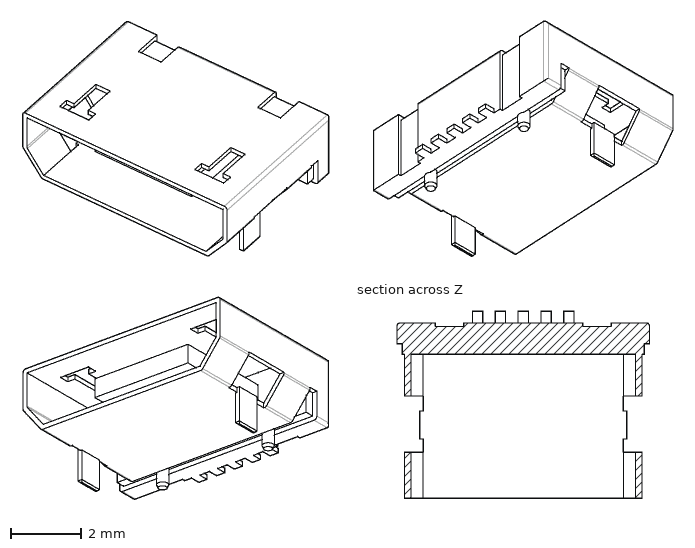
import cadquery as cq


SHELL_WIDTH = 7.2
SHELL_HEIGHT = 2.15
SHELL_LENGTH = 5.0
WALL = 0.15
BEND_RADIUS = 0.1
SLOPE_WIDTH = 0.67
SLOPE_HEIGHT = 0.845
HALF_WIDTH = SHELL_WIDTH / 2
INNER_HALF_WIDTH = HALF_WIDTH - WALL
CEILING_Z = SHELL_HEIGHT - WALL

INSULATOR_FRONT_Y = 4.1
INSULATOR_REAR_Y = 4.9
TONGUE_HALF_WIDTH = 1.7
TONGUE_BOTTOM_Z = 1.0
TONGUE_THICKNESS = 0.6
TONGUE_FRONT_Y = 0.9

CAP_FRONT_Y = 4.4
NOTCH_INNER_X = TONGUE_HALF_WIDTH
NOTCH_WIDTH = 0.8
PANEL_BEND_RADIUS = 0.099

WINDOW_FRONT_Y = 1.32
WINDOW_LENGTH = 1.59
WINDOW_TOP_Z = 0.9
WINDOW_INNER_X = 2.855
LEG_X = 2.875
LEG_Y = 2.09
LEG_WIDTH = 0.8
LEG_DROP = 1.0
LEG_TIP_CHAMFER = 0.05

SLOT_X = 2.375
SLOT_BAR_WIDTH = 1.02
SLOT_BAR_LENGTH = 0.33
SLOT_STEM_WIDTH = 0.5
SLOT_FRONT_Y = 0.82
SLOT_REAR_Y = 2.21

PEG_DIAMETER = 0.35
PEG_X = 1.925
PEG_Y = INSULATOR_FRONT_Y + PEG_DIAMETER / 2
PEG_DROP = 0.45
PEG_TIP_HEIGHT = 0.1
PEG_TIP_INSET = 0.045

PIN_COUNT = 5
PIN_PITCH = 0.65
PIN_WIDTH = 0.3
PIN_THICKNESS = 0.15
PIN_REAR_Y = 5.33

SIDES = (-1, 1)


def block(x_range, y_range, z_range):
    """Box between two limits on each axis."""
    limits = (sorted(x_range), sorted(y_range), sorted(z_range))
    size = [high - low for low, high in limits]
    corner = tuple(low for low, high in limits)
    return cq.Workplane("XY").box(*size, centered=False).translate(corner)


def mouth_profile():
    """Outer cross-section of the shell, with sloped lower corners."""
    floor_end = HALF_WIDTH - SLOPE_WIDTH
    return cq.Workplane("XZ").polyline([
        (-floor_end, 0),
        (floor_end, 0),
        (HALF_WIDTH, SLOPE_HEIGHT),
        (HALF_WIDTH, SHELL_HEIGHT),
        (-HALF_WIDTH, SHELL_HEIGHT),
        (-HALF_WIDTH, SLOPE_HEIGHT),
    ]).close()


def make_sleeve():
    """Open tube with the mouth cross-section, ending at the insulator front."""
    outer = mouth_profile().extrude(-INSULATOR_FRONT_Y).edges("|Y").fillet(BEND_RADIUS)
    cavity = mouth_profile().offset2D(-WALL, "intersection").extrude(-INSULATOR_FRONT_Y)
    upper_slope_bends = cq.selectors.BoxSelector(
        (-SHELL_WIDTH, 0, SLOPE_HEIGHT - WALL),
        (SHELL_WIDTH, SHELL_LENGTH, SLOPE_HEIGHT + WALL),
    )
    cavity = cavity.edges("|Y").edges(upper_slope_bends).fillet(BEND_RADIUS)
    return outer.cut(cavity)


def make_rear_cap():
    """Rear part of the shell: top, side walls and rear panels around the insulator."""
    envelope = block((-HALF_WIDTH, HALF_WIDTH), (0, SHELL_LENGTH), (0, SHELL_HEIGHT))
    rounded_along = envelope.edges("|Y").fillet(BEND_RADIUS)
    rounded_rear = envelope.edges("|Z and >Y").fillet(BEND_RADIUS)
    cap = rounded_along.intersect(rounded_rear)
    cap = cap.cut(block((-HALF_WIDTH, HALF_WIDTH), (0, INSULATOR_FRONT_Y), (0, SHELL_HEIGHT)))
    cap = cap.cut(block((-HALF_WIDTH, HALF_WIDTH), (0, CAP_FRONT_Y), (0, WINDOW_TOP_Z)))
    cap = cap.cut(block((-INNER_HALF_WIDTH, INNER_HALF_WIDTH), (0, INSULATOR_REAR_Y), (WALL, CEILING_Z)))
    notch_outer_x = NOTCH_INNER_X + NOTCH_WIDTH
    rear_y = (INSULATOR_REAR_Y, SHELL_LENGTH)
    cap = cap.cut(block((-notch_outer_x, notch_outer_x), rear_y, (0, SHELL_HEIGHT)))
    for side in SIDES:
        notch_x = (side * NOTCH_INNER_X, side * notch_outer_x)
        cap = cap.cut(block(notch_x, (INSULATOR_FRONT_Y, INSULATOR_REAR_Y), (CEILING_Z, SHELL_HEIGHT)))
    panel = block((-NOTCH_INNER_X, NOTCH_INNER_X), rear_y, (0, SHELL_HEIGHT))
    return cap.union(panel.edges(">Y and >Z").fillet(PANEL_BEND_RADIUS))


def make_insulator():
    """Block filling the rear of the shell, with the tongue reaching toward the mouth."""
    body = block(
        (-INNER_HALF_WIDTH, INNER_HALF_WIDTH),
        (INSULATOR_FRONT_Y, INSULATOR_REAR_Y),
        (WALL, CEILING_Z),
    )
    tongue = block(
        (-TONGUE_HALF_WIDTH, TONGUE_HALF_WIDTH),
        (TONGUE_FRONT_Y, INSULATOR_FRONT_Y),
        (TONGUE_BOTTOM_Z, TONGUE_BOTTOM_Z + TONGUE_THICKNESS),
    )
    return body.union(tongue)


def make_window(side):
    """Cutter removing the sloped corner along the middle of one side."""
    return block(
        (side * WINDOW_INNER_X, side * HALF_WIDTH),
        (WINDOW_FRONT_Y, WINDOW_FRONT_Y + WINDOW_LENGTH),
        (0, WINDOW_TOP_Z),
    )


def make_t_slot(side):
    """Cutter for one T-shaped slot through the top wall, bar toward the mouth."""
    def strip(width, rear_y):
        x_range = (side * SLOT_X - width / 2, side * SLOT_X + width / 2)
        return block(x_range, (SLOT_FRONT_Y, rear_y), (CEILING_Z, SHELL_HEIGHT))

    bar = strip(SLOT_BAR_WIDTH, SLOT_FRONT_Y + SLOT_BAR_LENGTH)
    return bar.union(strip(SLOT_STEM_WIDTH, SLOT_REAR_Y))


def make_leg(side):
    """Solder leg dropping from the floor edge at a window, chamfered at its tip."""
    center_x = side * LEG_X
    leg = block(
        (center_x - WALL / 2, center_x + WALL / 2),
        (LEG_Y - LEG_WIDTH / 2, LEG_Y + LEG_WIDTH / 2),
        (-LEG_DROP, WALL),
    )
    return leg.faces("<Z").edges().chamfer(LEG_TIP_CHAMFER)


def make_peg(side):
    """Round locating peg hanging from the insulator, with a tapered tip."""
    radius = PEG_DIAMETER / 2
    half_section = cq.Workplane("XZ").polyline([
        (0, -PEG_DROP),
        (radius - PEG_TIP_INSET, -PEG_DROP),
        (radius, -PEG_DROP + PEG_TIP_HEIGHT),
        (radius, WALL),
        (0, WALL),
    ]).close()
    peg = half_section.revolve(360, (0, 0, 0), (0, 1, 0))
    return peg.translate((side * PEG_X, PEG_Y, 0))


def make_pin(index):
    """Flat contact pin running under the insulator and out of the rear."""
    center_x = (index - (PIN_COUNT - 1) / 2) * PIN_PITCH
    return block(
        (center_x - PIN_WIDTH / 2, center_x + PIN_WIDTH / 2),
        (CAP_FRONT_Y, PIN_REAR_Y),
        (0, PIN_THICKNESS),
    )


result = make_sleeve().union(make_rear_cap()).union(make_insulator())
for side in SIDES:
    result = result.cut(make_window(side)).cut(make_t_slot(side))
    result = result.union(make_leg(side)).union(make_peg(side))
for index in range(PIN_COUNT):
    result = result.union(make_pin(index))